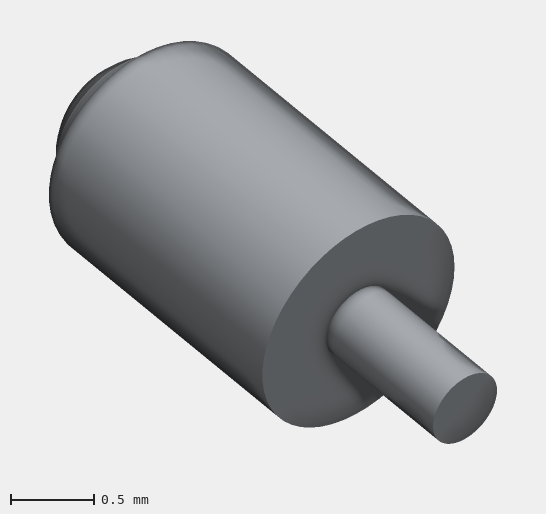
import cadquery as cq
import math


barrel_diameter = 1.5
barrel_length = 2.1
barrel_fillet = 0.15

plunger_diameter = 1.0
plunger_length = 0.4
dome_radius = 0.61

tail_diameter = 0.5
tail_length = 1.0


def make_rod(start_x, length, diameter):
    """Solid cylinder along +X, starting at start_x."""
    return cq.Workplane("YZ", origin=(start_x, 0, 0)).circle(diameter / 2).extrude(length)


def make_barrel():
    """Barrel with its front rim rounded."""
    barrel = make_rod(0, barrel_length, barrel_diameter)
    return barrel.faces("<X").edges().fillet(barrel_fillet)


def make_plunger():
    """Short cylinder capped by a spherical dome, revolved about the X axis."""
    radius = plunger_diameter / 2
    tip_x = -plunger_length
    dome_center_x = tip_x + dome_radius
    dome_base_x = dome_center_x - math.sqrt(dome_radius**2 - radius**2)

    half_angle = math.asin(radius / dome_radius) / 2
    arc_middle = (
        dome_center_x - dome_radius * math.cos(half_angle),
        dome_radius * math.sin(half_angle),
    )

    profile = (
        cq.Workplane("XY")
        .moveTo(tip_x, 0)
        .threePointArc(arc_middle, (dome_base_x, radius))
        .lineTo(0, radius)
        .lineTo(0, 0)
        .close()
    )
    return profile.revolve(360, (0, 0, 0), (1, 0, 0))


def make_tail():
    """Plain tail pin on the rear face of the barrel."""
    return make_rod(barrel_length, tail_length, tail_diameter)


result = make_barrel().union(make_plunger()).union(make_tail())